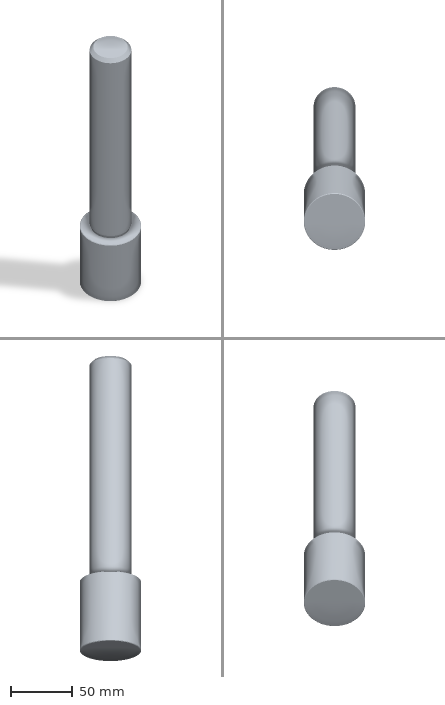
import cadquery as cq

total_length = 250.0
head_diameter = 50.0
head_length = 60.0
shank_diameter = 34.0

tip_chamfer = 3.0
head_chamfer = 0.5
relief_length = 3.0
relief_depth = 1.0

head_radius = head_diameter / 2
shank_radius = shank_diameter / 2
relief_radius = shank_radius - relief_depth

head = cq.Workplane("XY").circle(head_radius).extrude(head_length)
head = head.faces("<Z or >Z").chamfer(head_chamfer)

shank = (
    cq.Workplane("XZ")
    .moveTo(0, head_length)
    .lineTo(relief_radius, head_length)
    .lineTo(relief_radius, head_length + relief_length)
    .lineTo(shank_radius, head_length + relief_length)
    .lineTo(shank_radius, total_length - tip_chamfer)
    .lineTo(shank_radius - tip_chamfer, total_length)
    .lineTo(0, total_length)
    .close()
    .revolve(360, (0, 0, 0), (0, 1, 0))
)

result = head.union(shank)